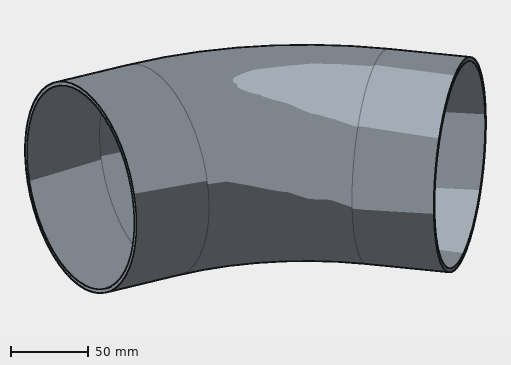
import cadquery as cq
import math

OUTER_DIAMETER = 139.8
INNER_DIAMETER = 134.5
BEND_RADIUS = 191.8
BEND_ANGLE = 45.0
COLLAR_LENGTH = 54.5


def bend_point(angle):
    """Point on the centreline arc, at an angle in degrees from the start of the bend."""
    turn = math.radians(angle)
    x = BEND_RADIUS * (1 - math.cos(turn))
    y = COLLAR_LENGTH + BEND_RADIUS * math.sin(turn)
    return x, y


def centreline():
    """Straight run along +Y, arc toward +X, then a straight run along the turned direction."""
    bend_end_x, bend_end_y = bend_point(BEND_ANGLE)
    turn = math.radians(BEND_ANGLE)
    outlet = (
        bend_end_x + COLLAR_LENGTH * math.sin(turn),
        bend_end_y + COLLAR_LENGTH * math.cos(turn),
    )
    return (
        cq.Workplane("XY")
        .lineTo(*bend_point(0))
        .threePointArc(bend_point(BEND_ANGLE / 2), (bend_end_x, bend_end_y))
        .lineTo(*outlet)
    )


ring = cq.Workplane("XZ").circle(OUTER_DIAMETER / 2).circle(INNER_DIAMETER / 2)
result = ring.sweep(centreline())